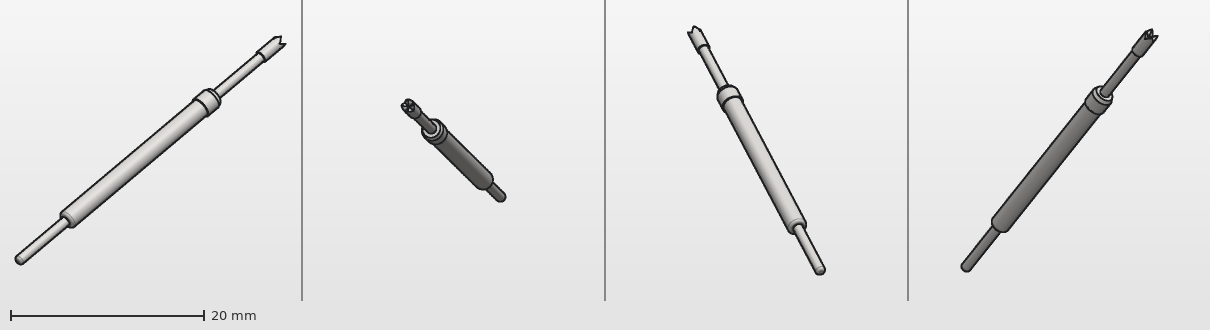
import cadquery as cq
import math

total_length = 39.1
tip_y = total_length / 2

head_radius = 1.33 / 2
plunger_radius = 1.05 / 2
collar_radius = 2.3 / 2
barrel_radius = 2.05 / 2
tail_radius = 1.05 / 2

head_end = 3.0
collar_start = 9.95
collar_end = 11.95
barrel_end = 31.95

collar_taper_length = 0.45
collar_taper_depth = 0.2
barrel_rounding = 0.3
tail_rounding = 0.3

crown_depth = 0.65
groove_angles = (45, 135)


def turned_body():
    """Revolve the half profile about the Y axis."""
    barrel_end_y = tip_y - barrel_end
    tail_end_y = tip_y - total_length
    arc_share = math.sqrt(0.5)

    def rounded_corner(profile, radius, end_y, rounding):
        """Add a quarter arc from the cylinder of this radius onto its end face."""
        centre_radius = radius - rounding
        centre_y = end_y + rounding
        middle = (centre_radius + rounding * arc_share, centre_y - rounding * arc_share)
        return profile.lineTo(radius, centre_y).threePointArc(middle, (centre_radius, end_y))

    profile = (
        cq.Workplane("XY")
        .moveTo(0, tip_y)
        .lineTo(head_radius, tip_y)
        .lineTo(head_radius, tip_y - head_end)
        .lineTo(plunger_radius, tip_y - head_end)
        .lineTo(plunger_radius, tip_y - collar_start)
        .lineTo(collar_radius - collar_taper_depth, tip_y - collar_start)
        .lineTo(collar_radius, tip_y - collar_start - collar_taper_length)
        .lineTo(collar_radius, tip_y - collar_end)
        .lineTo(barrel_radius, tip_y - collar_end)
    )
    profile = rounded_corner(profile, barrel_radius, barrel_end_y, barrel_rounding)
    profile = profile.lineTo(tail_radius, barrel_end_y)
    profile = rounded_corner(profile, tail_radius, tail_end_y, tail_rounding)
    profile = profile.lineTo(0, tail_end_y).close()
    return profile.revolve(360, (0, 0, 0), (0, 1, 0))


def crown_groove(angle):
    """V groove through the head, turned about Y; its sides meet the rim at the tooth tips."""
    half_width = head_radius * math.sin(math.radians(45))
    overrun = 2
    top_half_width = half_width * (1 + overrun)
    top_y = tip_y + crown_depth * overrun
    groove = (
        cq.Workplane("XY")
        .polyline([(0, tip_y - crown_depth), (top_half_width, top_y), (-top_half_width, top_y)])
        .close()
        .extrude(2 * head_radius, both=True)
    )
    return groove.rotate((0, 0, 0), (0, 1, 0), angle)


result = turned_body()
for groove_angle in groove_angles:
    result = result.cut(crown_groove(groove_angle))